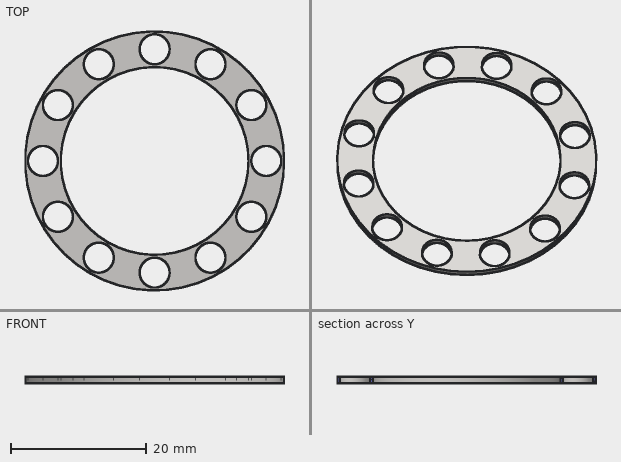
import cadquery as cq

outer_diameter = 38.3
inner_diameter = 27.7
thickness = 1.0

hole_count = 12
hole_diameter = 4.4
hole_circle_diameter = (outer_diameter + inner_diameter) / 2


def make_ring():
    """Flat annular plate resting on the XY plane."""
    return (
        cq.Workplane("XY")
        .circle(outer_diameter / 2)
        .circle(inner_diameter / 2)
        .extrude(thickness)
    )


def cut_holes(ring):
    """Drill the circle of through holes, the first one on the +X axis."""
    return (
        ring.faces(">Z")
        .workplane(origin=(0, 0, thickness))
        .polarArray(hole_circle_diameter / 2, 0, 360, hole_count)
        .hole(hole_diameter)
    )


result = cut_holes(make_ring())